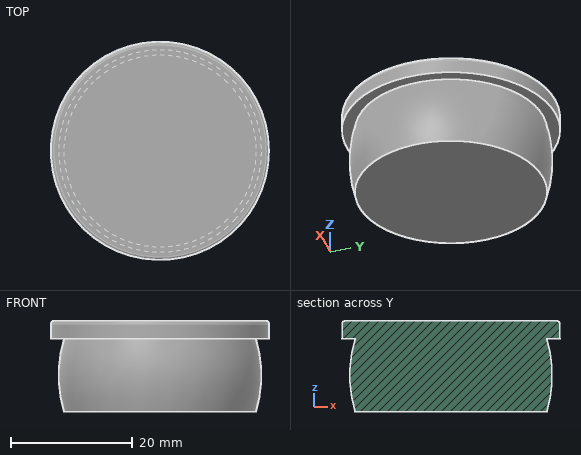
import cadquery as cq

flange_diameter = 36.0
total_height = 15.0
flange_thickness = 3.0
edge_radius = 0.5
plug_end_diameter = 31.68
plug_middle_diameter = 33.48

plug_height = total_height - flange_thickness
plug_end_radius = plug_end_diameter / 2
plug_middle_radius = plug_middle_diameter / 2


def make_plug():
    """Barrel-shaped plug, widest halfway up, standing on Z = 0."""
    half_profile = (
        cq.Workplane("XZ")
        .lineTo(plug_end_radius, 0)
        .threePointArc((plug_middle_radius, plug_height / 2), (plug_end_radius, plug_height))
        .lineTo(0, plug_height)
        .close()
    )
    return half_profile.revolve(360, (0, 0, 0), (0, 1, 0))


def make_flange():
    """Round cover on top of the plug with a rounded upper edge."""
    disc = (
        cq.Workplane("XY")
        .workplane(offset=plug_height)
        .circle(flange_diameter / 2)
        .extrude(flange_thickness)
    )
    return disc.faces(">Z").edges().fillet(edge_radius)


result = make_plug().union(make_flange())